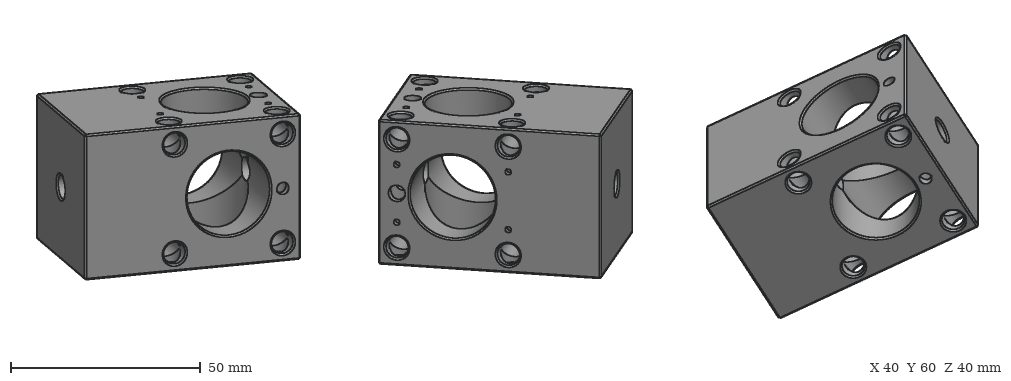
import cadquery as cq

length = 60.0
width = length * 2 / 3
edge_chamfer = 0.5

cage_y = (length - width) / 2
rod_offset = 15.0
pin_offset = 8.0

bore_diameter = 23.0
rod_diameter = 6.0
cross_diameter = 3.3
cross_mouth_diameter = 4.5
cross_mouth_depth = width / 2 - rod_offset
axial_diameter = 6.5
pin_diameter = 1.6
pin_depth = 3.0
mouth_chamfer = 0.5


def cone(large_diameter, small_diameter, height):
    """Cone frustum along -Z, with its large end at Z = 0."""
    return cq.Workplane("XY").add(
        cq.Solid.makeCone(large_diameter / 2, small_diameter / 2, height, dir=cq.Vector(0, 0, -1))
    )


def cylinder(diameter, height):
    """Cylinder hanging down from Z = 0."""
    return cq.Workplane("XY").circle(diameter / 2).extrude(-height)


def chamfered_hole(diameter, depth):
    """Through hole of the given depth with a chamfer at both mouths."""
    mouth = cone(diameter + 2 * mouth_chamfer, diameter, mouth_chamfer)
    far_mouth = mouth.mirror("XY").translate((0, 0, -depth))
    return cylinder(diameter, depth).union(mouth).union(far_mouth)


def cage_cutter():
    """All holes of one cage axis, entering downwards from Z = width / 2."""
    bore = chamfered_hole(bore_diameter, width)
    rod_hole = chamfered_hole(rod_diameter, width)
    pin = cylinder(pin_diameter, pin_depth)
    cross_hole = cylinder(cross_diameter, width).union(cylinder(cross_mouth_diameter, cross_mouth_depth))

    cutter = bore.union(cross_hole.translate((0, rod_offset, 0)))
    for x_side in (-1, 1):
        for y_side in (-1, 1):
            y = y_side * rod_offset
            cutter = cutter.union(rod_hole.translate((x_side * rod_offset, y, 0)))
            cutter = cutter.union(pin.translate((x_side * pin_offset, y, 0)))
    return cutter.translate((0, cage_y, width / 2))


block = cq.Workplane("XY").box(width, length, width).edges().chamfer(edge_chamfer)

z_cage = cage_cutter()
x_cage = z_cage.rotate((0, 0, 0), (0, 1, 0), -90)

axial_hole = (
    chamfered_hole(axial_diameter, length)
    .rotate((0, 0, 0), (1, 0, 0), 90)
    .translate((0, -length / 2, 0))
)

result = block.cut(z_cage).cut(x_cage).cut(axial_hole)